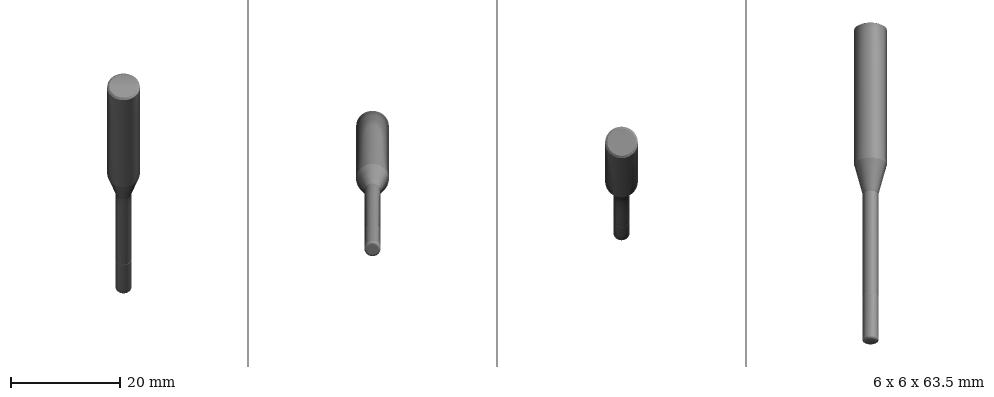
import cadquery as cq

total_length = 63.5
shank_diameter = 6.0
shank_bottom = 35.95
shank_chamfer_width = 0.4
shank_chamfer_height = 0.25
taper_bottom = 30.15
neck_diameter = 2.85
neck_lead_height = 0.2
tip_length = 9.15
tip_diameter = 3.0
tip_corner_radius = 0.5

shank_radius = shank_diameter / 2
neck_radius = neck_diameter / 2
tip_radius = tip_diameter / 2


def make_holder():
    """Shank with a chamfered top, a taper and a neck relieved between two short cones."""
    return (
        cq.Workplane("XZ")
        .moveTo(0, tip_length)
        .lineTo(tip_radius, tip_length)
        .lineTo(neck_radius, tip_length + neck_lead_height)
        .lineTo(neck_radius, taper_bottom - neck_lead_height)
        .lineTo(tip_radius, taper_bottom)
        .lineTo(shank_radius, shank_bottom)
        .lineTo(shank_radius, total_length - shank_chamfer_height)
        .lineTo(shank_radius - shank_chamfer_width, total_length)
        .lineTo(0, total_length)
        .close()
        .revolve(360, (0, 0, 0), (0, 1, 0))
    )


def make_tip():
    """Cylindrical cutting tip with a rounded lower corner, butted against the neck."""
    return (
        cq.Workplane("XY")
        .circle(tip_radius)
        .extrude(tip_length)
        .faces("<Z")
        .edges()
        .fillet(tip_corner_radius)
    )


holder = make_holder()
tip = make_tip()

result = cq.Compound.makeCompound([holder.val(), tip.val()])